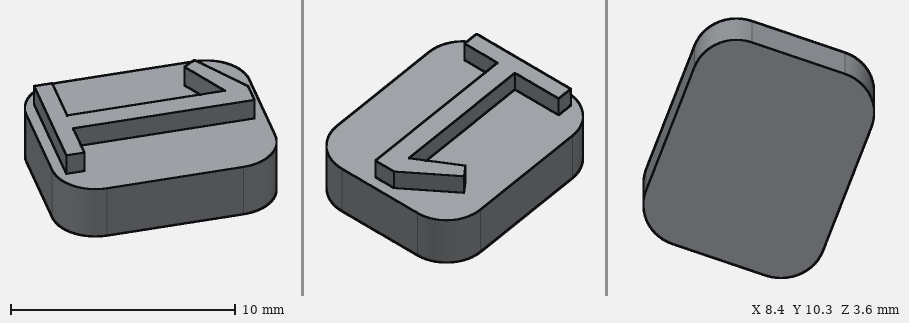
import cadquery as cq

plate_width = 8.4
plate_length = 10.3
plate_height = 2.6
corner_radius = 2.0

total_height = 3.6
numeral_height = total_height - plate_height
numeral_bottom = -4.61
numeral_top = 4.59

foot_left = -2.86
foot_right = 2.66
foot_thickness = 0.83
foot_top = numeral_bottom + foot_thickness

stem_right = 0.73
stem_width = 1.03
stem_left = stem_right - stem_width

flag_top_x = -0.36
flag_tip_upper = (-2.94, 2.8)
flag_tip_lower = (-2.53, 2.24)
flag_inner_y = 3.5


def make_plate():
    """Rectangular plate with rounded vertical edges."""
    return (
        cq.Workplane("XY")
        .rect(plate_width, plate_length)
        .extrude(plate_height)
        .edges("|Z")
        .fillet(corner_radius)
    )


def make_numeral():
    """Numeral outline, counter-clockwise from the lower left of the foot."""
    outline = [
        (foot_left, numeral_bottom),
        (foot_right, numeral_bottom),
        (foot_right, foot_top),
        (stem_right, foot_top),
        (stem_right, numeral_top),
        (flag_top_x, numeral_top),
        flag_tip_upper,
        flag_tip_lower,
        (stem_left, flag_inner_y),
        (stem_left, foot_top),
        (foot_left, foot_top),
    ]
    return (
        cq.Workplane("XY", origin=(0, 0, plate_height))
        .polyline(outline)
        .close()
        .extrude(numeral_height)
    )


result = make_plate().union(make_numeral())